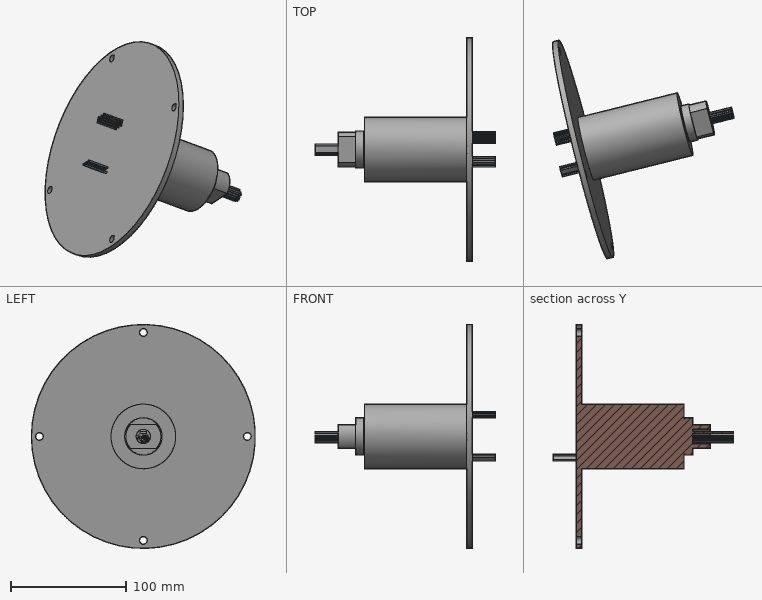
import cadquery as cq


flange_diameter = 194.0
flange_thickness = 5.0
bolt_count = 4
bolt_circle_radius = 90.0
bolt_hole_diameter = 6.4

body_diameter = 56.0
body_length = 88.5
neck_diameter = 31.0
neck_length = 0.6
collar_diameter = 32.4
collar_length = 7.0
nut_diameter = 30.4
nut_across_flats = 20.5
nut_length = 15.0
cable_hole_diameter = 12.4
cable_hole_depth = nut_length

front_wire_length = 20.0
rear_wire_length = 20.0
thin_wire_diameter = 1.2
thick_wire_diameter = 1.6
strap_width = 5.8
strap_thickness = 1.7

front_strap_center = (0.0, 3.5)
front_thick_wires = [(3.8, 0.6), (4.1, -1.5), (1.2, -0.9), (2.3, -2.6), (1.2, -4.4)]
thin_wire_pitch = 1.75
front_thin_wire_rows = [
    (0.8, -3.35, 3),
    (-0.9, -4.35, 3),
    (-2.6, -4.35, 3),
    (-4.0, -3.6, 2),
    (-5.2, -0.6, 1),
]

rear_thin_center = (10.6, 18.8)
rear_thin_column_counts = [3, 2, 3, 2, 3]
rear_thin_column_pitch = 1.9
rear_thin_wire_pitch = 2.15
rear_thin_lean = 0.35

rear_strap_center = (-9.9, -19.0)
rear_strap_tilt = -33.0
rear_thick_row_z = -16.0
rear_thick_row_start = -12.2
rear_thick_row_pitch = 1.85
rear_thick_row_count = 4
rear_lone_wire = (-14.5, -16.1)

flange_rear = flange_thickness
body_front = -body_length
neck_front = body_front - neck_length
collar_front = neck_front - collar_length
nut_front = collar_front - nut_length
cable_hole_floor = nut_front + cable_hole_depth
front_wire_tip = nut_front - front_wire_length
rear_wire_tip = flange_rear + rear_wire_length


def section_plane(x):
    """Plane across the axis at x, with local axes along Y and Z and its normal along +X."""
    return cq.Workplane("YZ", origin=(x, 0, 0))


def cylinder(diameter, x_start, x_end, center=(0.0, 0.0)):
    return section_plane(x_start).center(*center).circle(diameter / 2).extrude(x_end - x_start)


def strap(x_start, x_end, center, tilt=0.0):
    """Flat conductor turned by tilt degrees about its own lengthwise axis."""
    flat = section_plane(x_start).rect(strap_width, strap_thickness).extrude(x_end - x_start)
    return flat.rotate((0, 0, 0), (1, 0, 0), tilt).translate((0, *center))


def make_flange():
    bolt_holes = (
        section_plane(0)
        .polarArray(bolt_circle_radius, 0, 360, bolt_count)
        .circle(bolt_hole_diameter / 2)
        .extrude(flange_thickness)
    )
    return cylinder(flange_diameter, 0, flange_rear).cut(bolt_holes)


def make_nut():
    """Round nut with two flats facing +Z and -Z and a bore for the cable."""
    flats = section_plane(nut_front).rect(nut_diameter, nut_across_flats).extrude(nut_length)
    nut = cylinder(nut_diameter, nut_front, collar_front).intersect(flats)
    return nut.cut(cylinder(cable_hole_diameter, nut_front, cable_hole_floor))


def make_front_conductors():
    span = (front_wire_tip, cable_hole_floor)
    parts = [strap(*span, front_strap_center)]
    for center in front_thick_wires:
        parts.append(cylinder(thick_wire_diameter, *span, center))
    for z, first_y, count in front_thin_wire_rows:
        for i in range(count):
            parts.append(cylinder(thin_wire_diameter, *span, (first_y + i * thin_wire_pitch, z)))
    return parts


def make_rear_thin_wires():
    center_y, center_z = rear_thin_center
    middle_column = (len(rear_thin_column_counts) - 1) / 2
    parts = []
    for column, count in enumerate(rear_thin_column_counts):
        column_y = center_y + (column - middle_column) * rear_thin_column_pitch
        for i in range(count):
            rise = (i - (count - 1) / 2) * rear_thin_wire_pitch
            center = (column_y + rise * rear_thin_lean, center_z + rise)
            parts.append(cylinder(thin_wire_diameter, flange_rear, rear_wire_tip, center))
    return parts


def make_rear_thick_conductors():
    parts = [strap(flange_rear, rear_wire_tip, rear_strap_center, rear_strap_tilt)]
    places = [rear_lone_wire]
    for i in range(rear_thick_row_count):
        places.append((rear_thick_row_start + i * rear_thick_row_pitch, rear_thick_row_z))
    for center in places:
        parts.append(cylinder(thick_wire_diameter, flange_rear, rear_wire_tip, center))
    return parts


result = make_flange()
result = result.union(cylinder(body_diameter, body_front, 0))
result = result.union(cylinder(neck_diameter, neck_front, body_front))
result = result.union(cylinder(collar_diameter, collar_front, neck_front))
result = result.union(make_nut())
for conductor in make_front_conductors() + make_rear_thin_wires() + make_rear_thick_conductors():
    result = result.union(conductor)